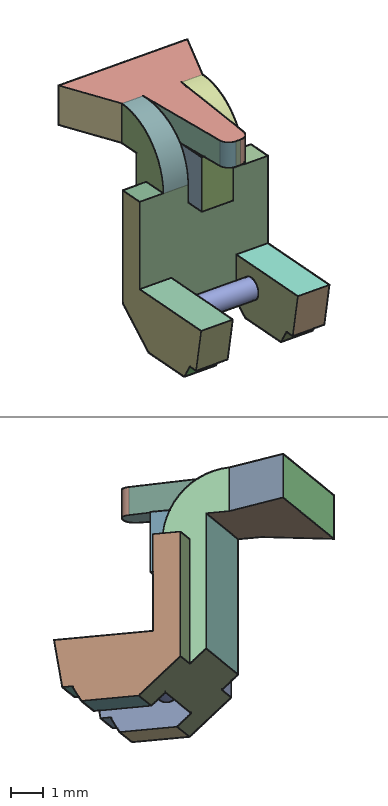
import cadquery as cq

column_front = 2.78
column_back = 4.185
column_half_width = 1.525
bend_start = 2.03
bend_radius = column_back - bend_start

total_height = 7.23
head_half_width = 4.86 / 2
head_bottom = 5.845

finger_root_half_width = 0.72
finger_tip_half_width = 0.43
finger_end = 5.96
finger_bottom = 6.34
finger_corner_radius = 0.37
rib_half_width = 0.59
rib_end = 4.89
rib_bottom = 4.44

arm_inner = 1.22
arm_outer = 2.42
arm_front = 3.3
arm_top = total_height - bend_radius
arm_ledge = 2.01
arm_end = 7.37
hook_back = 7.105
hook_step_front = 6.78
hook_step_height = 0.495
foot_back = 6.49

slope_top = 1.56
slope_end = 4.64

pin_diameter = 0.76
pin_x = 4.95
pin_z = 1.18


def slope_height(x):
    """Height of the sloped underside at a given X."""
    return slope_top * (slope_end - x) / (slope_end - column_front)


def extrude_along_y(profile, y_start, y_end):
    """Extrude a closed XZ profile between two Y positions."""
    return profile.extrude(-(y_end - y_start)).translate((0, y_start, 0))


def make_column():
    bend_mid = bend_radius * 0.5**0.5
    profile = (
        cq.Workplane("XZ")
        .moveTo(bend_start, head_bottom)
        .lineTo(bend_start, total_height)
        .threePointArc((bend_start + bend_mid, arm_top + bend_mid), (column_back, arm_top))
        .lineTo(column_back, slope_height(column_back))
        .lineTo(column_front, slope_top)
        .lineTo(column_front, head_bottom)
        .close()
    )
    return extrude_along_y(profile, -column_half_width, column_half_width)


def make_head():
    return (
        cq.Workplane("XY", origin=(0, 0, head_bottom))
        .polyline([
            (0, -head_half_width),
            (bend_start, -column_half_width),
            (bend_start, column_half_width),
            (0, head_half_width),
        ])
        .close()
        .extrude(total_height - head_bottom)
    )


def make_finger():
    return (
        cq.Workplane("XY", origin=(0, 0, finger_bottom))
        .polyline([
            (bend_start, -finger_root_half_width),
            (finger_end, -finger_tip_half_width),
            (finger_end, finger_tip_half_width),
            (bend_start, finger_root_half_width),
        ])
        .close()
        .extrude(total_height - finger_bottom)
        .edges("|Z and >X")
        .fillet(finger_corner_radius)
    )


def make_rib():
    profile = (
        cq.Workplane("XZ")
        .moveTo(column_front, rib_bottom)
        .lineTo(rib_end, rib_bottom)
        .lineTo(rib_end, finger_bottom)
        .lineTo(column_front, finger_bottom)
        .close()
    )
    return extrude_along_y(profile, -rib_half_width, rib_half_width)


def make_arm(y_start, y_end):
    profile = (
        cq.Workplane("XZ")
        .polyline([
            (arm_front, arm_top),
            (column_back, arm_top),
            (column_back, arm_ledge),
            (arm_end, arm_ledge),
            (hook_back, hook_step_height),
            (hook_step_front, hook_step_height),
            (foot_back, 0),
            (slope_end, 0),
            (arm_front, slope_height(arm_front)),
        ])
        .close()
    )
    return extrude_along_y(profile, y_start, y_end)


def make_pin():
    profile = cq.Workplane("XZ").center(pin_x, pin_z).circle(pin_diameter / 2)
    return extrude_along_y(profile, -arm_inner, arm_inner)


result = (
    make_column()
    .union(make_head())
    .union(make_finger())
    .union(make_rib())
    .union(make_arm(-arm_outer, -arm_inner))
    .union(make_arm(arm_inner, arm_outer))
    .union(make_pin())
)